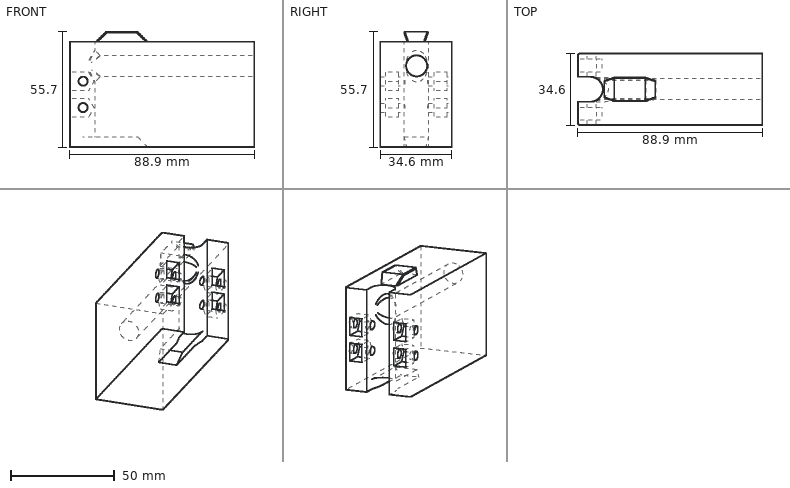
import cadquery as cq
import math

length = 88.9
width = 34.6
overall_height = 55.65
rail_height = 4.8
body_height = overall_height - rail_height
corner_radius = 1.2

channel_radius = 6.0
channel_depth = 12.0
channel_axis_x = channel_depth - channel_radius

bore_diameter = 10.05
bore_y = 0.3
bore_z = 39.1
bore_chamfer = 2.6
mouth_points = 24
mouth_overlap = 0.1

rail_top_start = 17.6
rail_top_end = 32.45
rail_end_run = 4.9
rail_half_width = 6.0
rail_side_slope = 0.34
rail_chamfer = 0.5

socket_clearance = 0.2
socket_half_width = 5.9
socket_side_slope = 0.25
socket_lead_end = 13.3

bolt_diameter = 4.3
bolt_x = 6.4
bolt_heights = (19.0, 31.7)
nut_across_flats = 8.9
nut_pocket_width = 6.2
nut_pocket_y = 11.65


def make_body():
    block = cq.Workplane("XY").box(length, width, body_height, centered=(False, True, False))
    return block.edges("|Z and <X").fillet(corner_radius)


def make_channel():
    return (
        cq.Workplane("XY")
        .moveTo(0, -channel_radius)
        .lineTo(channel_axis_x, -channel_radius)
        .threePointArc((channel_depth, 0), (channel_axis_x, channel_radius))
        .lineTo(0, channel_radius)
        .close()
        .extrude(body_height)
    )


def make_rail():
    base_half_width = rail_half_width - rail_side_slope * rail_height
    base_start = rail_top_start - rail_end_run
    base_end = rail_top_end + rail_end_run
    section = (
        cq.Workplane("YZ", origin=(base_start, 0, 0))
        .polyline([
            (-base_half_width, 0),
            (base_half_width, 0),
            (rail_half_width, rail_height),
            (-rail_half_width, rail_height),
        ])
        .close()
        .extrude(base_end - base_start)
    )
    side = (
        cq.Workplane("XZ")
        .polyline([
            (base_start, 0),
            (rail_top_start, rail_height),
            (rail_top_end, rail_height),
            (base_end, 0),
        ])
        .close()
        .extrude(rail_half_width, both=True)
    )
    rail = section.intersect(side)
    top_long_edges = rail.edges("|X").edges(">Z").vals()
    end_edges = rail.edges("not(|X or |Y)").vals()
    rail = rail.newObject(top_long_edges + end_edges).chamfer(rail_chamfer)
    return rail.translate((0, 0, body_height))


def socket_outline(z, half_width):
    """Plan of the socket at height z; the lead-in starts at the full channel width."""
    return (
        cq.Workplane("XY", origin=(0, 0, z))
        .polyline([
            (channel_axis_x, channel_radius),
            (socket_lead_end, half_width),
            (length, half_width),
            (length, -half_width),
            (socket_lead_end, -half_width),
            (channel_axis_x, -channel_radius),
        ])
        .close()
        .val()
    )


def make_socket():
    socket_height = rail_height + socket_clearance
    base_half_width = socket_half_width - socket_side_slope * socket_height
    base = socket_outline(0, base_half_width)
    ceiling = socket_outline(socket_height, socket_half_width)
    walls = cq.Workplane(cq.Solid.makeLoft([base, ceiling], True))
    ceiling_end = rail_top_end + socket_clearance
    far_end = (
        cq.Workplane("XZ")
        .polyline([
            (0, 0),
            (0, socket_height),
            (ceiling_end, socket_height),
            (ceiling_end + rail_end_run, 0),
        ])
        .close()
        .extrude(width / 2, both=True)
    )
    return walls.intersect(far_end)


def make_bore():
    """Round bore whose mouth has a chamfer following the curved channel wall.

    A ball of radius bore_chamfer rolls in the material along the mouth. It touches the
    bore on the inner edge of the chamfer and the channel wall on the outer edge.
    """
    bore_radius = bore_diameter / 2
    wall_ratio = channel_radius / (channel_radius + bore_chamfer)
    front, outer, inner, back = [], [], [], []
    for i in range(mouth_points):
        angle = 2 * math.pi * i / mouth_points
        across = math.cos(angle)
        up = math.sin(angle)
        ball_y = bore_y + (bore_radius + bore_chamfer) * across
        ball_z = bore_z + (bore_radius + bore_chamfer) * up
        ball_reach = math.sqrt((channel_radius + bore_chamfer) ** 2 - ball_y**2)
        inner_point = cq.Vector(
            channel_axis_x + ball_reach, bore_y + bore_radius * across, bore_z + bore_radius * up
        )
        wall_point = cq.Vector(channel_axis_x + ball_reach * wall_ratio, ball_y * wall_ratio, ball_z)
        outer_point = wall_point + (wall_point - inner_point) * mouth_overlap
        front.append(cq.Vector(channel_axis_x, outer_point.y, outer_point.z))
        outer.append(outer_point)
        inner.append(inner_point)
        back.append(cq.Vector(length, inner_point.y, inner_point.z))
    rings = [
        cq.Wire.assembleEdges([cq.Edge.makeSpline(points, periodic=True)])
        for points in (front, outer, inner, back)
    ]
    return cq.Workplane(cq.Solid.makeLoft(rings, True))


def make_bolt_hole(z):
    return (
        cq.Workplane("XZ", origin=(bolt_x, 0, z))
        .circle(bolt_diameter / 2)
        .extrude(width / 2, both=True)
    )


def make_nut_pocket(y, z):
    """Pocket open at the -X end, closed by two faces of the nut's hexagon."""
    half_height = nut_across_flats / 2
    corner_distance = half_height / math.cos(math.pi / 6)
    return (
        cq.Workplane("XZ", origin=(0, y, z))
        .polyline([
            (0, -half_height),
            (bolt_x + corner_distance / 2, -half_height),
            (bolt_x + corner_distance, 0),
            (bolt_x + corner_distance / 2, half_height),
            (0, half_height),
        ])
        .close()
        .extrude(nut_pocket_width / 2, both=True)
    )


result = make_body().cut(make_channel()).cut(make_bore()).cut(make_socket())
for bolt_z in bolt_heights:
    result = result.cut(make_bolt_hole(bolt_z))
    for side in (-1, 1):
        result = result.cut(make_nut_pocket(side * nut_pocket_y, bolt_z))
result = result.union(make_rail())